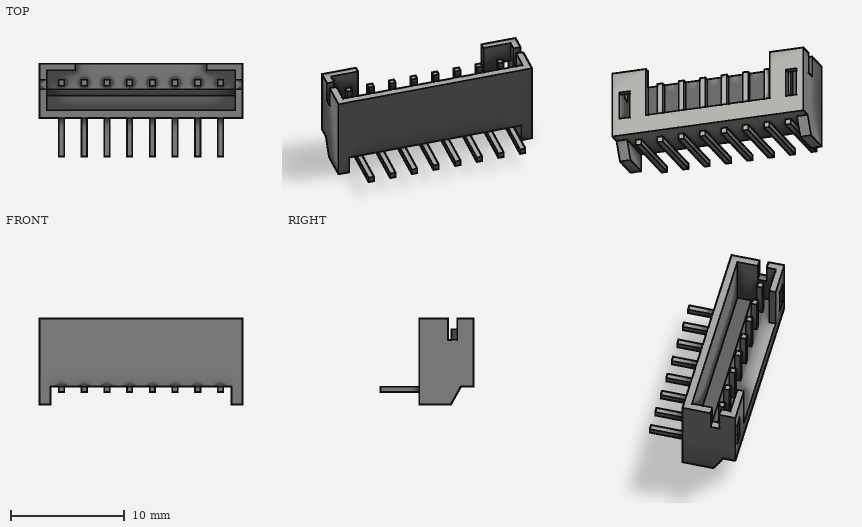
import cadquery as cq

pin_count = 8
pin_pitch = 2.0
pin_size = 0.5
end_margin = 1.95
housing_length = (pin_count - 1) * pin_pitch + 2 * end_margin
housing_depth = 4.8
housing_height = 6.0
side_wall = 0.65
front_wall = 0.7
back_wall = 0.6

foot_drop = 1.6
foot_width = 1.0
foot_back_top = 3.7
foot_back_bottom = 2.8

trough_z = 1.0
slope_drop = 0.6
slope_top_y = 2.55
slope_bottom_y = slope_top_y - slope_drop
shelf_z = trough_z + slope_drop

tab_length = 3.15
slot_front_y = slope_top_y
slot_width = 0.8
slot_depth = 1.9
slot_bottom_z = housing_height - slot_depth
window_width = 1.0

contact_y = 3.1
contact_tip_z = 5.05
tail_length = 3.4
tail_top_z = 0.0

inner_length = housing_length - 2 * side_wall
inner_back_y = housing_depth - back_wall


def box(x_range, y_range, z_range):
    """Axis-aligned block between the given limits."""
    return cq.Workplane("XY").box(
        x_range[1] - x_range[0],
        y_range[1] - y_range[0],
        z_range[1] - z_range[0],
        centered=False,
    ).translate((x_range[0], y_range[0], z_range[0]))


def extrude_along_x(points, length):
    """Prism with a YZ profile, centred on X = 0."""
    return cq.Workplane("YZ").polyline(points).close().extrude(length / 2, both=True)


def make_housing():
    profile = [
        (0, -foot_drop),
        (foot_back_bottom, -foot_drop),
        (foot_back_top, 0),
        (housing_depth, 0),
        (housing_depth, housing_height),
        (0, housing_height),
    ]
    gap_half = housing_length / 2 - foot_width
    gap_between_feet = box((-gap_half, gap_half), (0, housing_depth), (-foot_drop, 0))
    return extrude_along_x(profile, housing_length).cut(gap_between_feet)


def make_cavity():
    profile = [
        (front_wall, housing_height),
        (front_wall, trough_z),
        (slope_bottom_y, trough_z),
        (slope_top_y, shelf_z),
        (inner_back_y, shelf_z),
        (inner_back_y, housing_height),
    ]
    return extrude_along_x(profile, inner_length)


def make_back_opening():
    half = housing_length / 2 - tab_length
    return box((-half, half), (inner_back_y, housing_depth), (shelf_z, housing_height))


def make_side_slots():
    half = housing_length / 2
    return box(
        (-half, half),
        (slot_front_y, slot_front_y + slot_width),
        (slot_bottom_z, housing_height),
    )


def make_tab_window(side):
    """Opening through a back tab, in the cavity corner on the given X side (-1 or 1)."""
    center_x = side * (inner_length - window_width) / 2
    return box(
        (center_x - window_width / 2, center_x + window_width / 2),
        (inner_back_y, housing_depth),
        (shelf_z, slot_bottom_z),
    )


def make_pin(x):
    x_range = (x - pin_size / 2, x + pin_size / 2)
    y_range = (contact_y - pin_size / 2, contact_y + pin_size / 2)
    tail_bottom_z = tail_top_z - pin_size
    contact = box(x_range, y_range, (tail_bottom_z, contact_tip_z))
    tail = box(x_range, (-tail_length, y_range[1]), (tail_bottom_z, tail_top_z))
    return contact.union(tail)


result = make_housing().cut(make_cavity()).cut(make_back_opening()).cut(make_side_slots())
for side in (-1, 1):
    result = result.cut(make_tab_window(side))
for index in range(pin_count):
    result = result.union(make_pin((index - (pin_count - 1) / 2) * pin_pitch))